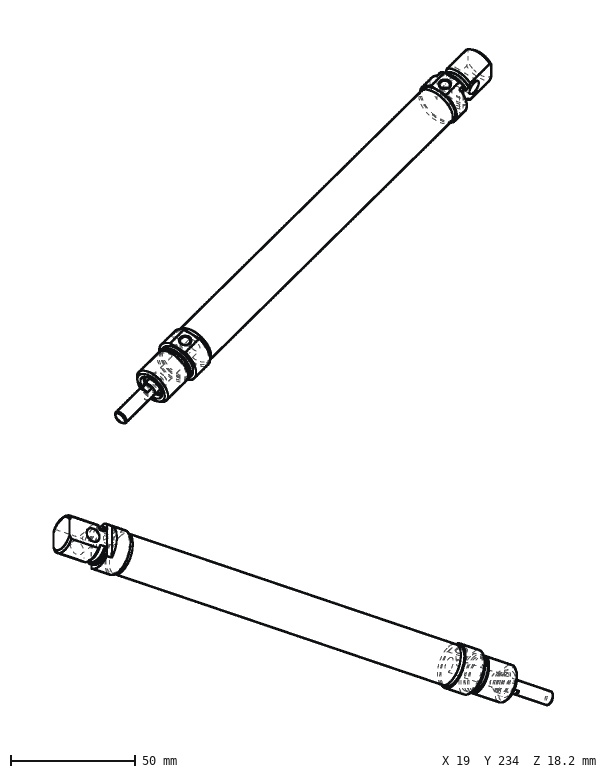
import cadquery as cq

LENGTH = 234.0
BODY_DIA = 17.3
HEAD_DIA = 19.0
COLLAR_DIA = 16.0
NECK_DIA = 13.8
END_CHAMFER = 1.0
THREAD_CHAMFER = 1.0
LIP_LENGTH = 1.6

FRONT_FACE = 20.1
FRONT_COLLAR_END = 34.2
FRONT_NECK_END = 36.0
FRONT_HEAD_START = 37.5
FRONT_HEAD_END = 46.5
BARREL_START = FRONT_HEAD_END + LIP_LENGTH

REAR_HEAD_START = 207.0
REAR_HEAD_END = 216.0
REAR_NECK_START = 217.2
REAR_COLLAR_START = 219.3
BARREL_END = REAR_HEAD_START - LIP_LENGTH

PORT_DIA = 4.2
PORT_MOUTH_DIA = 5.0
FRONT_PORT_DEPTH = 7.0
REAR_PORT_DEPTH = 4.7
DRILL_POINT_LENGTH = 1.2
PORT_FLAT_Z = 8.7
PORT_FLAT_CLEARANCE = 2.3
FRONT_PORT_Y = 42.4
REAR_PORT_Y = 211.3

TONGUE_THICKNESS = 12.0
TONGUE_ROOT_THICKNESS = 11.5
TONGUE_START = 213.6
PIVOT_DIA = 6.0
PIVOT_Y = 222.8

ROD_DIA = 6.0
ROD_END_DIA = 5.8
SEAL_STEP_DIAS = (11.0, 9.0, 6.5)
SEAL_STEP_DEPTH = 2.0
ROD_FLAT_WIDTH = 5.0
ROD_FLAT_START = 15.7
ROD_FLAT_END = 19.0
ROD_TIP_CHAMFER = 0.5


def bar(diameter, start, end):
    """A round bar on the Y axis."""
    plane = cq.Workplane("XZ", origin=(0, start, 0))
    return plane.circle(diameter / 2).extrude(start - end)


def cone(start_dia, end_dia, start, depth):
    """A round taper that points down from start_dia at the point start to end_dia at the given depth."""
    down = cq.Vector(0, 0, -1)
    return cq.Workplane(cq.Solid.makeCone(start_dia / 2, end_dia / 2, depth, cq.Vector(*start), down))


def cut_port(cap, port_y, port_depth, flat_start, flat_end):
    """Mill the flat on top of a cap head and drill the countersunk port with its drill point."""
    flat_length = flat_end - flat_start
    cutter = (
        cq.Workplane("XY", origin=(0, (flat_start + flat_end) / 2, PORT_FLAT_Z))
        .rect(HEAD_DIA, flat_length)
        .extrude(PORT_FLAT_CLEARANCE)
    )
    mouth = (0, port_y, PORT_FLAT_Z)
    drill = cq.Workplane("XY", origin=mouth).circle(PORT_DIA / 2).extrude(-port_depth)
    drill_point = cone(PORT_DIA, 0, (0, port_y, PORT_FLAT_Z - port_depth), DRILL_POINT_LENGTH)
    countersink = cone(PORT_MOUTH_DIA, PORT_DIA, mouth, (PORT_MOUTH_DIA - PORT_DIA) / 2)
    return cap.cut(cutter).cut(drill).cut(drill_point).cut(countersink)


def make_front_cap():
    collar = bar(COLLAR_DIA, FRONT_FACE, FRONT_COLLAR_END).faces("<Y").chamfer(END_CHAMFER)
    cap = (
        collar
        .union(bar(NECK_DIA, FRONT_COLLAR_END, FRONT_NECK_END))
        .union(bar(COLLAR_DIA, FRONT_NECK_END, FRONT_HEAD_START))
        .union(bar(HEAD_DIA, FRONT_HEAD_START, FRONT_HEAD_END))
        .union(bar(BODY_DIA, FRONT_HEAD_END, BARREL_START))
    )
    cap = cut_port(cap, FRONT_PORT_Y, FRONT_PORT_DEPTH, FRONT_HEAD_START, FRONT_HEAD_END)
    for step, diameter in enumerate(SEAL_STEP_DIAS, start=1):
        cap = cap.cut(bar(diameter, FRONT_FACE, FRONT_FACE + step * SEAL_STEP_DEPTH))
    return cap.cut(bar(ROD_DIA, FRONT_FACE, BARREL_START))


def cut_sides(cap, thickness, start, end):
    """Mill both X sides away from start to end, which leaves a tongue of the given thickness."""
    tongue = cq.Workplane("XZ", origin=(0, start, 0)).rect(thickness, HEAD_DIA).extrude(start - end)
    return cap.cut(bar(HEAD_DIA, start, end).cut(tongue))


def make_rear_cap():
    collar = (
        bar(COLLAR_DIA, REAR_COLLAR_START, LENGTH)
        .faces(">Y").chamfer(END_CHAMFER)
        .faces("<Y").chamfer(THREAD_CHAMFER)
    )
    cap = (
        bar(BODY_DIA, BARREL_END, REAR_HEAD_START)
        .union(bar(HEAD_DIA, REAR_HEAD_START, REAR_HEAD_END))
        .union(bar(COLLAR_DIA, REAR_HEAD_END, REAR_NECK_START))
        .union(bar(NECK_DIA, REAR_NECK_START, REAR_COLLAR_START))
        .union(collar)
    )
    cap = cut_port(cap, REAR_PORT_Y, REAR_PORT_DEPTH, REAR_HEAD_START, REAR_HEAD_END)

    cap = cut_sides(cap, TONGUE_ROOT_THICKNESS, TONGUE_START, REAR_HEAD_END)
    cap = cut_sides(cap, TONGUE_THICKNESS, REAR_HEAD_END, LENGTH)
    pivot = cq.Workplane("YZ", origin=(0, PIVOT_Y, 0)).circle(PIVOT_DIA / 2).extrude(HEAD_DIA, both=True)
    return cap.cut(pivot)


def make_rod():
    tip = bar(ROD_END_DIA, 0, ROD_FLAT_END).faces("<Y").chamfer(ROD_TIP_CHAMFER)
    rod = tip.union(bar(ROD_DIA, ROD_FLAT_END, BARREL_START))
    flat_length = ROD_FLAT_END - ROD_FLAT_START
    flat_centre = (0, (ROD_FLAT_START + ROD_FLAT_END) / 2, 0)
    flat_zone = cq.Workplane("XY").box(ROD_DIA, flat_length, ROD_DIA)
    between_flats = cq.Workplane("XY").box(ROD_DIA, flat_length, ROD_FLAT_WIDTH)
    return rod.cut(flat_zone.cut(between_flats).translate(flat_centre))


barrel = bar(BODY_DIA, BARREL_START, BARREL_END)
front_cap = make_front_cap()
rear_cap = make_rear_cap()
rod = make_rod()

result = cq.Compound.makeCompound([barrel.val(), front_cap.val(), rear_cap.val(), rod.val()])